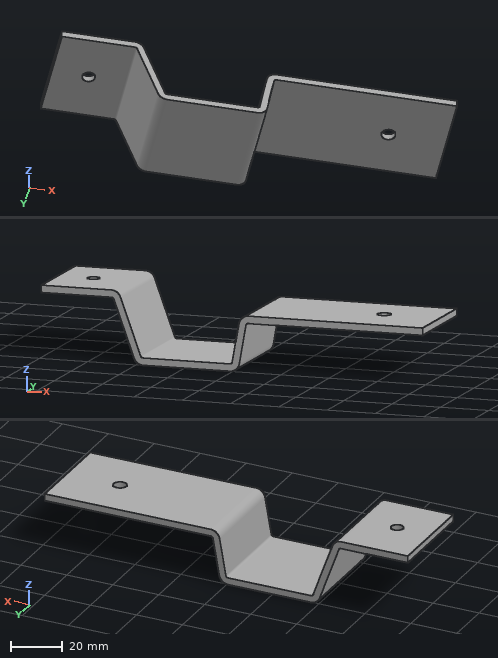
import cadquery as cq
import math

total_length = 158.05
strip_width = 41.0
total_height = 29.31

thickness = 3.0
inner_radius = 1.0
left_bend_angle = 70.0
right_bend_angle = 80.0

left_flange_length = 29.1
base_flat_length = 36.0
right_flange_height = 22.6

left_hole_diameter = 5.0
left_hole_x = 14.8
left_hole_y = 20.0
right_hole_diameter = 5.5
right_hole_x = 134.9
right_hole_y = 21.0

mid_radius = inner_radius + thickness / 2


def wall_length(step_height, bend_angle):
    angle = math.radians(bend_angle)
    bend_height = mid_radius * (1 - math.cos(angle))
    return (step_height - 2 * bend_height) / math.sin(angle)


def run_of_step(step_height, bend_angle):
    """Horizontal length of a sloped wall together with its two bends."""
    angle = math.radians(bend_angle)
    return wall_length(step_height, bend_angle) * math.cos(angle) + 2 * mid_radius * math.sin(angle)


left_step = total_height - thickness
right_step = right_flange_height - thickness
right_flange_length = (
    total_length
    - left_flange_length
    - run_of_step(left_step, left_bend_angle)
    - base_flat_length
    - run_of_step(right_step, right_bend_angle)
)

flats_and_bends = [
    (left_flange_length, -left_bend_angle),
    (wall_length(left_step, left_bend_angle), left_bend_angle),
    (base_flat_length, right_bend_angle),
    (wall_length(right_step, right_bend_angle), -right_bend_angle),
    (right_flange_length, 0.0),
]


def point_from(center, radius, angle):
    """Point in the XZ plane at a signed distance from center, along the normal of a heading."""
    return (center[0] - radius * math.sin(angle), center[1] + radius * math.cos(angle))


def strip_side(offset):
    """Flats and bends of one face of the strip, offset from its middle line.

    Returns the start point and a list of (flat end, arc middle, arc end).
    """
    heading = 0.0
    middle = (0.0, total_height - thickness / 2)
    start = point_from(middle, offset, heading)
    pieces = []
    for length, bend in flats_and_bends:
        middle = (middle[0] + length * math.cos(heading), middle[1] + length * math.sin(heading))
        flat_end = point_from(middle, offset, heading)
        if bend == 0:
            pieces.append((flat_end, None, None))
            continue
        turn = math.radians(bend)
        toward_center = math.copysign(mid_radius, turn)
        bend_center = point_from(middle, toward_center, heading)
        arc_radius = offset - toward_center
        arc_middle = point_from(bend_center, arc_radius, heading + turn / 2)
        arc_end = point_from(bend_center, arc_radius, heading + turn)
        pieces.append((flat_end, arc_middle, arc_end))
        heading += turn
        middle = point_from(bend_center, -toward_center, heading)
    return start, pieces


def side_edges(start, pieces):
    edges = []
    here = cq.Vector(start[0], 0, start[1])
    for flat_end, arc_middle, arc_end in pieces:
        flat_point = cq.Vector(flat_end[0], 0, flat_end[1])
        edges.append(cq.Edge.makeLine(here, flat_point))
        here = flat_point
        if arc_end is not None:
            arc_point = cq.Vector(arc_end[0], 0, arc_end[1])
            through = cq.Vector(arc_middle[0], 0, arc_middle[1])
            edges.append(cq.Edge.makeThreePointArc(here, through, arc_point))
            here = arc_point
    return edges


def bent_strip():
    upper = side_edges(*strip_side(thickness / 2))
    lower = side_edges(*strip_side(-thickness / 2))
    left_end = cq.Edge.makeLine(lower[0].startPoint(), upper[0].startPoint())
    right_end = cq.Edge.makeLine(upper[-1].endPoint(), lower[-1].endPoint())
    outline = cq.Wire.assembleEdges([left_end] + upper + [right_end] + lower[::-1])
    return cq.Workplane(cq.Solid.extrudeLinear(outline, [], cq.Vector(0, strip_width, 0)))


def flange_hole(x, y, diameter):
    return cq.Workplane("XY").center(x, y).circle(diameter / 2).extrude(total_height)


result = (
    bent_strip()
    .cut(flange_hole(left_hole_x, left_hole_y, left_hole_diameter))
    .cut(flange_hole(right_hole_x, right_hole_y, right_hole_diameter))
)